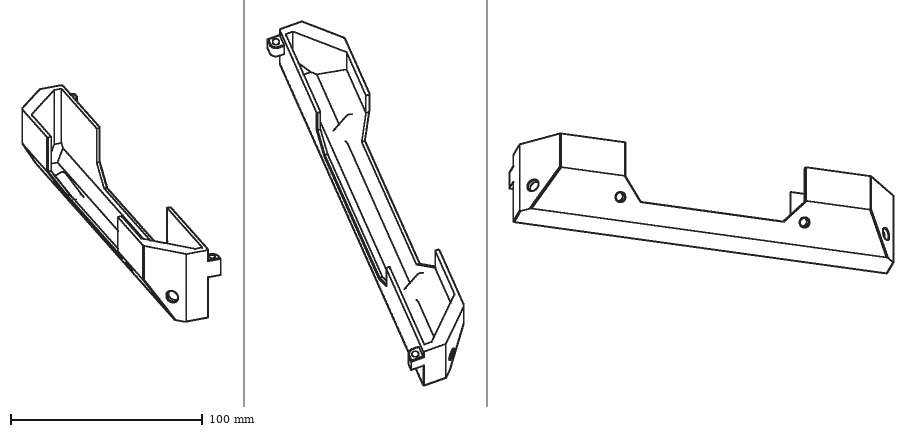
import cadquery as cq
import math

length = 203.5
depth = 30.0
height = 40.1
half_length = length / 2
edge_chamfer = 0.5
hole_chamfer = 0.5

corner_cut = 17.3
slope_height = 20.0
slope_inset = 12.6
slope_run = slope_inset / slope_height
slope_angle = math.atan(slope_run)

back_wall = 2.0
front_wall = 2.2
end_wall = 3.9
corner_wall = 7.3
floor_thickness = 1.0
back_ramp = 5.0
end_ramp = 7.1

opening_height = 9.8
opening_half_top = 48.9
opening_half_bottom = opening_half_top - (slope_height - opening_height)

corner_hole_diameter = 6.1
corner_hole_height = 13.5
corner_hole_from_end = 5.7
corner_hole_depth = 2.5

pad_spacing = 100.2
pad_width = 8.3
pad_thickness = 5.3
pad_fillet = 2.0
pad_hole_diameter = 4.7
pad_hole_height = 10.4
pad_hole_depth = 4.9

lug_reach = 7.0
lug_width = 7.0
lug_bottom = 24.0
lug_height = 10.0
lug_hole_diameter = 3.5
lug_hole_from_end = 3.3

tolerance = 0.2
contact = 0.02


def edges_centred_in(low, high):
    """Selector for edges whose centre lies in the box between two corners, given in any order."""
    grown_low = [min(pair) - tolerance for pair in zip(low, high)]
    grown_high = [max(pair) + tolerance for pair in zip(low, high)]
    return cq.selectors.BoxSelector(grown_low, grown_high)


def plan_prism(half, back, front, cut):
    """Full-height prism: a rectangle seen from above with its two front corners cut at 45 degrees."""
    outline = [
        (-half, back), (half, back), (half, front + cut), (half - cut, front),
        (cut - half, front), (-half, front + cut),
    ]
    return cq.Workplane("XY").polyline(outline).close().extrude(height)


def side_prism(outline):
    """Full-length prism along X from a (Y, Z) outline."""
    return cq.Workplane("YZ").polyline(outline).close().extrude(half_length, both=True)


def leaning_y(front, z):
    """Y of the leaning face at a height below the lip, for a lip at Y = front."""
    return front + slope_run * (slope_height - z)


def leaning_prism(back, front, bottom):
    """Full-length prism whose front leans back below the lip."""
    return side_prism([
        (back, bottom), (leaning_y(front, bottom), bottom), (front, slope_height),
        (front, height), (back, height),
    ])


def make_body():
    """Solid outer shape with broken edges at the corners, the back and the ends."""
    body = plan_prism(half_length, 0, -depth, corner_cut).intersect(leaning_prism(0, -depth, 0))
    broken = edges_centred_in((-half_length, 0, 0), (half_length, 0, height / 2))
    corner_x = half_length - corner_cut
    miter_middle = slope_height / 2
    upright_middle = (slope_height + height) / 2
    for side in (-1, 1):
        upright_and_miter = edges_centred_in(
            (side * corner_x, -depth, miter_middle),
            (side * (corner_x + slope_inset), leaning_y(-depth, miter_middle), upright_middle),
        )
        end_bottom = edges_centred_in(
            (side * half_length, corner_cut - depth, 0), (side * half_length, 0, 0)
        )
        broken = broken + upright_and_miter + end_bottom
    return body.edges(broken).chamfer(edge_chamfer)


def cut_opening(body):
    """Cut the opening through the solid body and break its outer edges, front and back."""
    outline = [
        (-opening_half_top, height), (-opening_half_top, slope_height),
        (-opening_half_bottom, opening_height), (opening_half_bottom, opening_height),
        (opening_half_top, slope_height), (opening_half_top, height),
    ]
    opened = body.cut(cq.Workplane("XZ").polyline(outline).close().extrude(depth))
    flank_middle = (slope_height + height) / 2
    front_edges = edges_centred_in(
        (-opening_half_top, -depth, opening_height),
        (opening_half_top, leaning_y(-depth, opening_height), flank_middle),
    )
    back_edges = edges_centred_in(
        (-opening_half_top, 0, opening_height), (opening_half_top, 0, flank_middle)
    )
    return opened.edges(front_edges + back_edges).chamfer(edge_chamfer)


def make_hollow():
    back = -back_wall
    front = front_wall - depth
    half = half_length - end_wall
    cut = corner_cut + corner_wall * math.sqrt(2) - end_wall - front_wall
    hollow = plan_prism(half, back, front, cut).intersect(leaning_prism(back, front, floor_thickness))
    hollow = hollow.cut(side_prism([
        (back, floor_thickness), (back - back_ramp, floor_thickness), (back, floor_thickness + back_ramp),
    ]))
    for side in (-1, 1):
        end_wedge = [
            (side * half, floor_thickness),
            (side * (half - end_ramp), floor_thickness),
            (side * half, floor_thickness + end_ramp),
        ]
        hollow = hollow.cut(cq.Workplane("XZ").polyline(end_wedge).close().extrude(depth))
    return hollow


def pad_plane(side):
    """Plane on the outer leaning face at a pad hole; local Z points inwards, local Y up the face."""
    y = leaning_y(-depth, pad_hole_height)
    inwards = (0, math.cos(slope_angle), math.sin(slope_angle))
    return cq.Plane(origin=(side * pad_spacing / 2, y, pad_hole_height), xDir=(-1, 0, 0), normal=inwards)


def add_pad(shell, side):
    """Round-ended bar lying on the inside of the leaning face and running down into the floor."""
    plane = pad_plane(side)
    radius = pad_width / 2
    wall = front_wall * math.cos(slope_angle)
    bar = (
        cq.Workplane(plane)
        .moveTo(-radius, -depth)
        .lineTo(-radius, 0)
        .threePointArc((0, radius), (radius, 0))
        .lineTo(radius, -depth)
        .close()
        .extrude(wall + pad_thickness)
        .faces(cq.selectors.DirectionMinMaxSelector(plane.zDir)).edges().fillet(pad_fillet)
    )
    keep = leaning_prism(-back_wall, front_wall / 2 - depth, floor_thickness / 2)
    part = shell.union(bar.intersect(keep))

    def is_foot(edge):
        """Whether an edge of this pad lies on the floor or on the inner leaning face."""
        offset = edge.Center() - plane.origin
        on_floor = abs(edge.Center().z - floor_thickness) < contact
        on_face = abs(offset.dot(plane.zDir) - wall) < contact
        return abs(offset.x) < radius + tolerance and (on_floor or on_face)

    return part.newObject([edge for edge in part.edges().vals() if is_foot(edge)]).fillet(pad_fillet)


def make_blind_hole(plane, diameter, hole_depth):
    """Cutter going inwards along the plane normal, widened at its mouth."""
    radius = diameter / 2
    mouth = cq.Solid.makeCone(radius + hole_chamfer, radius, hole_chamfer, plane.origin, plane.zDir)
    return cq.Workplane(plane).circle(radius).extrude(hole_depth).union(cq.Workplane(mouth))


def corner_hole_plane(side):
    """Plane on a corner face at its hole; local Z points inwards."""
    x = side * (half_length - corner_hole_from_end)
    y = corner_cut - corner_hole_from_end - depth
    return cq.Plane(origin=(x, y, corner_hole_height), xDir=(0, 0, 1), normal=(-side, 1, 0))


def make_lug(side):
    """Lug flush with an end, rounded about its hole, with a root inside the back wall."""
    end_x = side * half_length
    hole_x = end_x - side * lug_hole_from_end
    inner_x = end_x - side * lug_width
    round_radius = lug_width - lug_hole_from_end
    hole_y = lug_reach - round_radius
    diagonal = round_radius * math.sqrt(0.5)
    base = cq.Workplane("XY", origin=(0, 0, lug_bottom))
    lug = (
        base.moveTo(end_x, -back_wall)
        .lineTo(end_x, lug_reach)
        .lineTo(hole_x, lug_reach)
        .threePointArc((hole_x - side * diagonal, hole_y + diagonal), (inner_x, hole_y))
        .lineTo(inner_x, -back_wall)
        .close()
        .extrude(lug_height)
        .faces(">Z").edges("not(<Y)").chamfer(edge_chamfer)
    )
    return lug.cut(base.center(hole_x, hole_y).circle(lug_hole_diameter / 2).extrude(lug_height))


body = make_body()
shell = body.cut(make_hollow())
for side in (-1, 1):
    shell = add_pad(shell, side)
result = shell.intersect(cut_opening(body))
for side in (-1, 1):
    result = (
        result.union(make_lug(side))
        .cut(make_blind_hole(pad_plane(side), pad_hole_diameter, pad_hole_depth))
        .cut(make_blind_hole(corner_hole_plane(side), corner_hole_diameter, corner_hole_depth))
    )